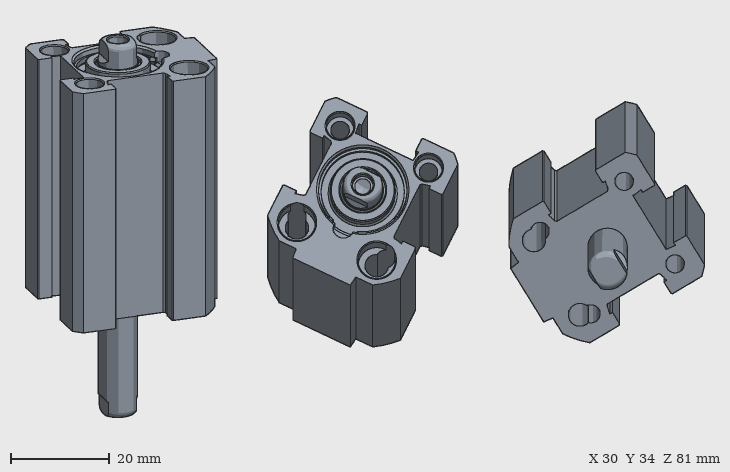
import cadquery as cq
import math


BODY_LENGTH = 52.0
BODY_HALF_WIDTH = 15.0
CORNER_RADIUS = 20.0
SHOULDER_Y = 17.0
TAB_TOP_Y = 19.0
TAB_HALF_TOP = 6.5
TAB_HALF_ROOT = 6.7

SLOT_FLOOR = 10.0
SLOT_LIP = 12.0
SLOT_HALF_MOUTH = 6.1
SLOT_HALF_INSIDE = 6.7
SLOT_LIP_CHAMFER = 0.25
SIDE_WALL_END = 6.3
SIDE_FLOOR_HALF = 6.0
FRONT_FLOOR_HALF = 6.5

BOLT_OFFSET = 10.0
BOLT_DIA = 3.7
BOLT_BORE_DIA = 5.6
SCREW_X = 9.0
SCREW_Y = 12.0
SCREW_DIA = 4.7
SCREW_BORE_DIA = 7.5
SCREW_BORE_DEPTH = 4.6
BOLT_BORE_DEPTH = 3.7
RIM_CHAMFER = 0.25

BORE_DIA = 17.9
GROOVE_DIA = 19.0
MOUTH_DIA = 18.7
MOUTH_CHAMFER = (MOUTH_DIA - BORE_DIA) / 2
RING_DEPTH = 1.45
RING_THICKNESS = 1.0
RING_INNER_DIA = 16.85
RING_GAP = 5.35
NOTCH_DIA = 4.1

COVER_RECESS = 0.6
COVER_THICKNESS = 8.0
COLLAR_DIA = 13.2
COLLAR_FOOT_DIA = 14.0
COLLAR_DEPTH = 0.25
COLLAR_CHAMFER = 0.25
COVER_MOUTH_DIA = 9.7

SEAL_DIA = 9.2
SEAL_LIP_DIA = 8.4
SEAL_DEPTH = 0.25
SEAL_HEIGHT = 3.2

ROD_DIA = 8.0
ROD_BELOW = 24.5
ROD_ABOVE = 4.5
ROD_END_FILLET = 1.3
FLAT_HALF_WIDTH = 3.1
FLAT_LENGTH = 3.5
CENTRE_DIA = 4.2
CENTRE_POINT_DIA = 3.2
CENTRE_MOUTH_DIA = 4.7
CENTRE_DEPTH = 1.95
DRILL_POINT_ANGLE = 118

ring_bottom = BODY_LENGTH - RING_DEPTH - RING_THICKNESS
notch_floor = ring_bottom
cover_top = ring_bottom - COVER_RECESS
cover_bottom = cover_top - COVER_THICKNESS
collar_top = BODY_LENGTH - COLLAR_DEPTH
seal_top = collar_top - SEAL_DEPTH
seal_bottom = seal_top - SEAL_HEIGHT


def cylinder(diameter, bottom, top, x=0, y=0):
    return cq.Workplane("XY", origin=(x, y, bottom)).circle(diameter / 2).extrude(top - bottom)


def revolve_profile(points):
    """Turn a closed (radius, z) outline about the rod axis."""
    return cq.Workplane("XZ").polyline(points).close().revolve(360, (0, 0), (0, 1))


def cone(bottom_dia, top_dia, bottom, top, x=0, y=0):
    points = [(0, bottom), (bottom_dia / 2, bottom), (top_dia / 2, top), (0, top)]
    return revolve_profile(points).translate((x, y, 0))


def slot(floor_corner):
    """Undercut slot through the full length, open toward -Y; floor_corner lists its inner points."""
    half = floor_corner + [
        (SLOT_HALF_INSIDE, -SLOT_LIP),
        (SLOT_HALF_MOUTH, -SLOT_LIP),
        (SLOT_HALF_MOUTH, -BODY_HALF_WIDTH + SLOT_LIP_CHAMFER),
        (SLOT_HALF_MOUTH + SLOT_LIP_CHAMFER, -BODY_HALF_WIDTH),
    ]
    mirrored = [(-x, y) for x, y in reversed(half)]
    return cq.Workplane("XY").polyline(half + mirrored).close().extrude(BODY_LENGTH)


def counterbored_hole(hole_dia, bore_dia, bore_depth, x, y):
    hole = cylinder(hole_dia, 0, BODY_LENGTH, x, y)
    bore = cylinder(bore_dia, BODY_LENGTH - bore_depth, BODY_LENGTH, x, y)
    rim_dia = bore_dia + 2 * RIM_CHAMFER
    rim = cone(bore_dia, rim_dia, BODY_LENGTH - RIM_CHAMFER, BODY_LENGTH, x, y)
    return hole.union(bore).union(rim)


def make_extrusion():
    height = BODY_HALF_WIDTH + SHOULDER_Y
    block = (
        cq.Workplane("XY", origin=(0, SHOULDER_Y - height / 2, 0))
        .rect(2 * BODY_HALF_WIDTH, height)
        .extrude(BODY_LENGTH)
        .intersect(cylinder(2 * CORNER_RADIUS, 0, BODY_LENGTH))
    )
    tab = (
        cq.Workplane("XY")
        .polyline([
            (-TAB_HALF_ROOT, SHOULDER_Y),
            (TAB_HALF_ROOT, SHOULDER_Y),
            (TAB_HALF_TOP, TAB_TOP_Y),
            (-TAB_HALF_TOP, TAB_TOP_Y),
        ])
        .close()
        .extrude(BODY_LENGTH)
    )
    square_corner = [(FRONT_FLOOR_HALF, -SLOT_FLOOR)]
    body = block.union(tab).cut(slot(square_corner))

    bevel = SIDE_WALL_END - SIDE_FLOOR_HALF
    bevelled_corner = [(SIDE_FLOOR_HALF, -SLOT_FLOOR), (SIDE_WALL_END, -SLOT_FLOOR - bevel)]
    for turn in (-90, 90):
        body = body.cut(slot(bevelled_corner).rotate((0, 0, 0), (0, 0, 1), turn))
    return body


def notch():
    """Half-round pocket beside the bore, with a bevel where its floor meets the bore."""
    pocket = cylinder(NOTCH_DIA, notch_floor, BODY_LENGTH, 0, BORE_DIA / 2)
    bevel_bottom = notch_floor - (GROOVE_DIA - BORE_DIA) / 2
    bevel = cone(BORE_DIA, GROOVE_DIA, bevel_bottom, notch_floor)
    bevel_limit = cylinder(NOTCH_DIA, bevel_bottom, notch_floor, 0, BORE_DIA / 2)
    return pocket.union(bevel.intersect(bevel_limit))


def make_housing():
    body = make_extrusion()
    for side in (-1, 1):
        bolt_x = side * BOLT_OFFSET
        body = body.cut(
            counterbored_hole(BOLT_DIA, BOLT_BORE_DIA, BOLT_BORE_DEPTH, bolt_x, -BOLT_OFFSET)
        )
        body = body.cut(
            counterbored_hole(SCREW_DIA, SCREW_BORE_DIA, SCREW_BORE_DEPTH, side * SCREW_X, SCREW_Y)
        )
        body = body.cut(cylinder(BOLT_DIA, 0, BODY_LENGTH, bolt_x, BOLT_OFFSET))

    rod_hole = cylinder(ROD_DIA, 0, BODY_LENGTH)
    bore = cylinder(BORE_DIA, cover_bottom, BODY_LENGTH)
    mouth = cone(BORE_DIA, MOUTH_DIA, BODY_LENGTH - MOUTH_CHAMFER, BODY_LENGTH)
    groove = cylinder(GROOVE_DIA, ring_bottom, ring_bottom + RING_THICKNESS)
    return body.cut(rod_hole).cut(bore).cut(mouth).cut(groove).cut(notch())


def make_retaining_ring():
    top = ring_bottom + RING_THICKNESS
    ring = cylinder(GROOVE_DIA, ring_bottom, top).cut(cylinder(RING_INNER_DIA, ring_bottom, top))
    gap = (
        cq.Workplane("XY", origin=(0, GROOVE_DIA / 2, ring_bottom))
        .rect(RING_GAP, GROOVE_DIA / 2)
        .extrude(RING_THICKNESS)
    )
    return ring.cut(gap)


def make_rod_cover():
    foot_height = (COLLAR_FOOT_DIA - COLLAR_DIA) / 2
    mouth_height = (COVER_MOUTH_DIA - SEAL_DIA) / 2
    return revolve_profile([
        (ROD_DIA / 2, cover_bottom),
        (BORE_DIA / 2, cover_bottom),
        (BORE_DIA / 2, cover_top),
        (COLLAR_FOOT_DIA / 2, cover_top),
        (COLLAR_DIA / 2, cover_top + foot_height),
        (COLLAR_DIA / 2, collar_top - COLLAR_CHAMFER),
        (COLLAR_DIA / 2 - COLLAR_CHAMFER, collar_top),
        (COVER_MOUTH_DIA / 2, collar_top),
        (SEAL_DIA / 2, collar_top - mouth_height),
        (SEAL_DIA / 2, seal_bottom),
        (ROD_DIA / 2, seal_bottom),
    ])


def make_rod_seal():
    """Ring around the rod whose top tapers to a narrow lip."""
    taper_height = (SEAL_DIA - SEAL_LIP_DIA) / 2
    return revolve_profile([
        (ROD_DIA / 2, seal_bottom),
        (SEAL_DIA / 2, seal_bottom),
        (SEAL_DIA / 2, seal_top - taper_height),
        (SEAL_LIP_DIA / 2, seal_top),
        (ROD_DIA / 2, seal_top),
    ])


def rod_flats(end_z, inward):
    """Pair of wrench flats at one rod end, each with a 45 degree run-out; inward is +1 or -1."""
    run_out = ROD_DIA / 2 - FLAT_HALF_WIDTH
    flat_end = end_z + inward * FLAT_LENGTH
    flat = (
        cq.Workplane("YZ", origin=(-ROD_DIA / 2, 0, 0))
        .polyline([
            (FLAT_HALF_WIDTH, end_z),
            (FLAT_HALF_WIDTH, flat_end),
            (ROD_DIA / 2, flat_end + inward * run_out),
            (ROD_DIA / 2, end_z),
        ])
        .close()
        .extrude(ROD_DIA)
    )
    return flat.union(flat.mirror("XZ"))


def centre_hole(top):
    """Blind hole with a chamfered mouth and a conical drill point sunk in its floor."""
    floor = top - CENTRE_DEPTH
    mouth_height = (CENTRE_MOUTH_DIA - CENTRE_DIA) / 2
    point_height = CENTRE_POINT_DIA / 2 / math.tan(math.radians(DRILL_POINT_ANGLE / 2))
    return revolve_profile([
        (0, floor - point_height),
        (CENTRE_POINT_DIA / 2, floor),
        (CENTRE_DIA / 2, floor),
        (CENTRE_DIA / 2, top - mouth_height),
        (CENTRE_MOUTH_DIA / 2, top),
        (0, top),
    ])


def make_rod():
    bottom = -ROD_BELOW
    top = BODY_LENGTH + ROD_ABOVE
    rod = cylinder(ROD_DIA, bottom, top).faces("<Z or >Z").edges().fillet(ROD_END_FILLET)
    return rod.cut(rod_flats(bottom, 1)).cut(rod_flats(top, -1)).cut(centre_hole(top))


housing = make_housing()
retaining_ring = make_retaining_ring()
rod_cover = make_rod_cover()
rod_seal = make_rod_seal()
rod = make_rod()

result = cq.Compound.makeCompound([
    housing.val(),
    retaining_ring.val(),
    rod_cover.val(),
    rod_seal.val(),
    rod.val(),
])